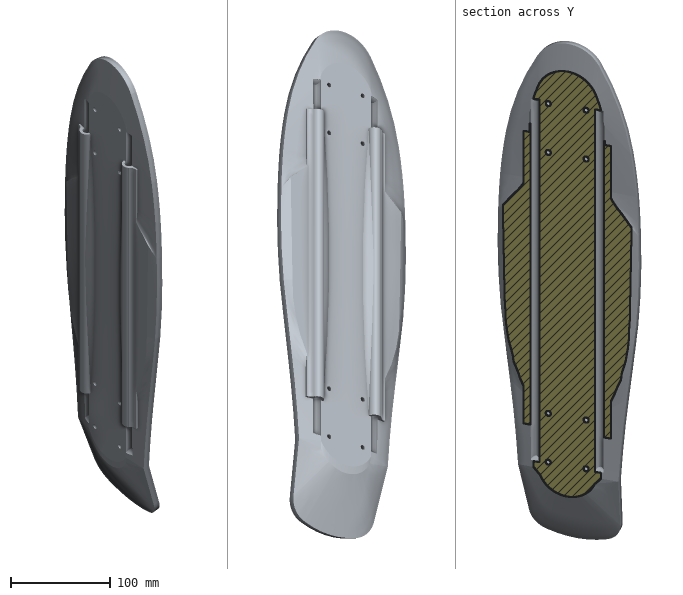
import cadquery as cq
import math


rim_thickness = 6.5
plateau_y = -11.0
tail_crest_y = -10.0
fold_z = 84.0
tail_angle = math.radians(16.5)

rail_x = 35.0
rail_axis_y = -10.35
rail_radius = 7.0
rail_bottom = 131.0
rail_top = 456.0
flare_outer_x = 48.0
rail_root_y = -5.5
flare_middle = (43.5, -12.5)
flare_end = (41.5, -15.0)
channel_diameter = 9.0
channel_bottom = 91.0
channel_top = 493.5

ramp_inner_x = 20.5
ramp_sagitta = 7.0
ramp_half_length = 159.0
ramp_middle_z = 295.0
ramp_slope = math.radians(26)
ramp_rise = 5.5

hole_diameter = 5.0
hole_x = 20.5
hole_row_pitch = 54.0
lower_hole_z = 93.0
upper_hole_z = 436.5

front_fold_z = fold_z - rim_thickness * math.tan(tail_angle / 2)


def plateau_point(x, z):
    return cq.Vector(x, plateau_y, z)


def crest_point(x, z):
    return cq.Vector(x, tail_crest_y, z)


def rim_point(x, z):
    """Point on the lower edge of the side wall; the tail bends away towards +Y."""
    drop = max(0, front_fold_z - z)
    return cq.Vector(x, drop * math.tan(tail_angle) - rim_thickness, z)


def back_point(x, z):
    """Point on the riding face, square across the deck from the rim point."""
    if z > front_fold_z:
        return cq.Vector(x, 0, z)
    if z == front_fold_z:
        return cq.Vector(x, 0, fold_z)
    normal = cq.Vector(0, math.cos(tail_angle), math.sin(tail_angle))
    return rim_point(x, z) + normal * rim_thickness


def edge(path, place):
    """A line through two (x, z) points, or an arc through three, put in space by `place`."""
    points = [place(x, z) for x, z in path]
    if len(points) == 2:
        return cq.Edge.makeLine(*points)
    return cq.Edge.makeThreePointArc(*points)


def mirrored(path):
    return [(-x, z) for x, z in path]


def planar_face(edges):
    return cq.Face.makeFromWires(cq.Wire.combine(edges)[0])


def round_end_arc(half_width, top_z, tip_z, start, end):
    """Part of the arc closing the plateau; start and end are fractions of its half-width."""
    rise = top_z - tip_z
    radius = (half_width**2 + rise**2) / (2 * rise)
    xs = [half_width * share for share in (start, (start + end) / 2, end)]
    return [(x, tip_z + radius - math.sqrt(radius**2 - x**2)) for x in xs]


def plateau_end(start, end):
    return round_end_arc(*plateau_corner, plateau_tip_z, start, end)


def crest(start, end):
    return round_end_arc(*crest_corner, crest_tip_z, start, end)


nose_rim, nose_top = (33.5, 540.5), (31.5, 497.5)
shoulder_rim, shoulder_top = (68.0, 449.0), (31.5, 486.0)
upper_rim, pad_start = (74.5, 402.5), (31.5, 405.0)
pad_rim, pad_corner = (76.5, 359.5), (68.0, 372.5)
waist_rim, pad_waist = (74.0, 257.0), (66.0, 257.0)
lower_rim, pad_end = (63.5, 175.5), (31.5, 152.0)
fold_rim, plateau_corner = (55.0, front_fold_z), (31.0, 85.0)
tail_side_rim = (50.0, 26.0)
tail_corner_rim = (44.5, 13.5)
tail_end_rim = (32.0, 5.0)
plateau_tip_z = 66.5
crest_corner, crest_tip_z = (30.0, 77.5), 58.0

nose_strip = (
    [nose_top, (0, 520.0), (-nose_top[0], nose_top[1])],
    [nose_rim, (0, 559.0), (-nose_rim[0], nose_rim[1])],
)
side_strips = [
    ([nose_top, shoulder_top], [nose_rim, (56.0, 494.5), shoulder_rim]),
    ([shoulder_top, pad_start], [shoulder_rim, (71.8, 426.0), upper_rim]),
    ([pad_start, pad_corner], [upper_rim, (75.7, 381.0), pad_rim]),
    ([pad_corner, pad_waist], [pad_rim, (76.85, 310.0), waist_rim]),
    ([pad_waist, (57.5, 201.0), pad_end], [waist_rim, (69.0, 215.0), lower_rim]),
    ([pad_end, plateau_corner], [lower_rim, (58.0, 126.0), fold_rim]),
]

seam_outer, seam_inner = 0.67, 0.39
tail_strips = [
    (1, seam_outer, [fold_rim, tail_side_rim]),
    (seam_outer, seam_inner, [tail_side_rim, tail_corner_rim, tail_end_rim]),
    (seam_inner, -seam_inner, [tail_end_rim, (0, 0), (-tail_end_rim[0], tail_end_rim[1])]),
    (-seam_inner, -seam_outer, mirrored([tail_end_rim, tail_corner_rim, tail_side_rim])),
    (-seam_outer, -1, mirrored([tail_side_rim, fold_rim])),
]


def make_deck():
    ruled = cq.Face.makeRuledSurface
    plateau_edges = []
    flat_back_edges = []
    tail_back_edges = []
    faces = []

    side_pairs = side_strips + [(mirrored(top), mirrored(rim)) for top, rim in side_strips]
    for top, rim in [nose_strip] + side_pairs:
        top_edge = edge(top, plateau_point)
        rim_edge = edge(rim, rim_point)
        back_edge = edge(rim, back_point)
        faces += [ruled(top_edge, rim_edge), ruled(rim_edge, back_edge)]
        plateau_edges.append(top_edge)
        flat_back_edges.append(back_edge)

    for start, end, rim in tail_strips:
        end_edge = edge(plateau_end(start, end), plateau_point)
        crest_edge = edge(crest(start, end), crest_point)
        rim_edge = edge(rim, rim_point)
        back_edge = edge(rim, back_point)
        faces += [ruled(end_edge, crest_edge), ruled(crest_edge, rim_edge), ruled(rim_edge, back_edge)]
        plateau_edges.append(end_edge)
        tail_back_edges.append(back_edge)

    for side in (1, -1):
        corners = [
            plateau_point(side * plateau_corner[0], plateau_corner[1]),
            crest_point(side * crest_corner[0], crest_corner[1]),
            rim_point(side * fold_rim[0], fold_rim[1]),
        ]
        faces.append(cq.Face.makeFromWires(cq.Wire.makePolygon(corners, close=True)))

    fold = edge([fold_rim, (-fold_rim[0], fold_rim[1])], back_point)
    faces.append(planar_face(plateau_edges))
    faces.append(planar_face(flat_back_edges + [fold]))
    faces.append(planar_face(tail_back_edges + [fold]))
    return cq.Workplane(cq.Solid.makeSolid(cq.Shell.makeShell(faces)))


def make_rail():
    """Half-round rail on the +X side with a concave flare running out onto the pad."""
    length = rail_top - rail_bottom
    base = cq.Workplane("XY").workplane(offset=rail_bottom)
    tube = base.center(rail_x, rail_axis_y).circle(rail_radius).extrude(length)
    flare = (
        base.moveTo(rail_x, rail_root_y)
        .lineTo(flare_outer_x, rail_root_y)
        .lineTo(flare_outer_x, plateau_y)
        .threePointArc(flare_middle, flare_end)
        .lineTo(rail_x, flare_end[1])
        .close()
        .extrude(length)
    )
    return tube.union(flare)


def make_ramp():
    """Slice of a wide cone whose curved edge bulges from the rail towards the middle."""
    cone_radius = (ramp_half_length**2 + ramp_sagitta**2) / (2 * ramp_sagitta)
    cone = cq.Workplane(
        cq.Solid.makeCone(
            cone_radius,
            cone_radius - ramp_rise / math.tan(ramp_slope),
            ramp_rise,
            cq.Vector(ramp_inner_x + cone_radius, plateau_y, ramp_middle_z),
            cq.Vector(0, -1, 0),
        )
    )
    length = rail_top - rail_bottom
    slice_box = cq.Workplane("XY").box(rail_x, 2 * ramp_rise, length, centered=(False, True, False))
    return cone.intersect(slice_box.translate((0, plateau_y, rail_bottom)))


def make_channel():
    """Round channel cutter with ends slanting inwards with depth."""
    length = channel_top - channel_bottom
    radius = channel_diameter / 2
    bore = (
        cq.Workplane("XY")
        .workplane(offset=channel_bottom)
        .center(rail_x, rail_axis_y)
        .circle(radius)
        .extrude(length)
    )
    bottom_y = rail_axis_y + radius
    mouth_y = rail_axis_y - radius
    envelope = (
        cq.Workplane("YZ")
        .polyline([
            (mouth_y, channel_bottom),
            (rail_axis_y, channel_bottom),
            (bottom_y, channel_bottom + radius),
            (bottom_y, channel_top - radius),
            (rail_axis_y, channel_top),
            (mouth_y, channel_top),
        ])
        .close()
        .extrude(rail_x + radius)
    )
    return bore.intersect(envelope)


def make_mounting_holes():
    points = [
        (x, z + row * hole_row_pitch)
        for x in (-hole_x, hole_x)
        for z in (lower_hole_z, upper_hole_z)
        for row in (0, 1)
    ]
    return cq.Workplane("XZ").pushPoints(points).circle(hole_diameter / 2).extrude(-plateau_y)


result = make_deck()
rail = make_rail().union(make_ramp())
channel = make_channel()
for body in (rail, rail.mirror("YZ")):
    result = result.union(body)
for cutter in (channel, channel.mirror("YZ"), make_mounting_holes()):
    result = result.cut(cutter)